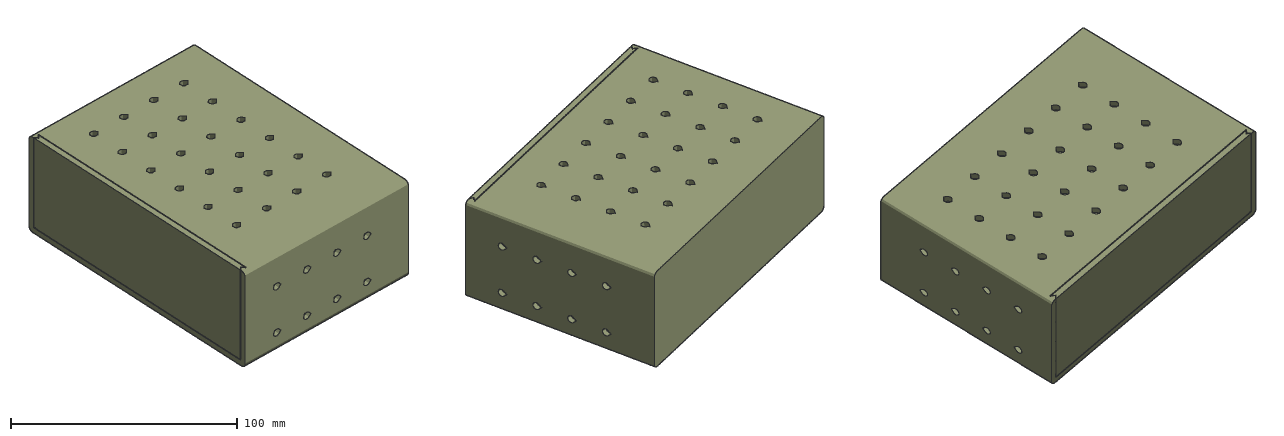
import cadquery as cq
import math

WIDTH = 140.0
DEPTH = 99.0
HEIGHT = 52.6
WALL = 3.0
EDGE_RADIUS = 2.5

LID_THICKNESS = WALL
LID_CLEARANCE = 0.31
V_DEPTH = LID_THICKNESS / 2

VENT_RADIUS = 1.8
VENT_DEPTH_PITCH = 18.2
VENT_ROWS = 4

TOP_VENT_COLUMNS = 6
TOP_VENT_PITCH = 18.5
FIRST_COLUMN_X = 19.0
TOP_FIRST_ROW_Y = 21.4

SIDE_VENT_LEVELS = 2
SIDE_VENT_PITCH = 25.5
FIRST_LEVEL_Z = 10.1
SIDE_FIRST_ROW_Y = 19.0


def teardrop(plane, length):
    """Teardrop prism: a circle with a right-angled tip along the plane's local Y axis."""
    tangent = VENT_RADIUS / math.sqrt(2)
    tip = VENT_RADIUS * math.sqrt(2)
    return (
        cq.Workplane(plane)
        .moveTo(-tangent, tangent)
        .threePointArc((0, -VENT_RADIUS), (tangent, tangent))
        .lineTo(0, tip)
        .close()
        .extrude(length)
    )


def lid_profile():
    """Lid plan outline: a plate with a V groove along each upright edge."""
    left = WALL + LID_CLEARANCE
    right = WIDTH - left
    middle = LID_THICKNESS / 2
    return [
        (left, 0),
        (right, 0),
        (right - V_DEPTH, middle),
        (right, LID_THICKNESS),
        (left, LID_THICKNESS),
        (left + V_DEPTH, middle),
    ]


def make_lid():
    """Lid that slides down between the side walls, level with the top of the box."""
    bottom = WALL + LID_CLEARANCE
    return (
        cq.Workplane("XY", origin=(0, 0, bottom))
        .polyline(lid_profile())
        .close()
        .extrude(HEIGHT - bottom)
    )


def rail(wall_x, inward):
    """V-shaped rail on a side wall's inner face; inward is +1 or -1 along X."""
    return (
        cq.Workplane("XY", origin=(0, 0, WALL))
        .polyline([
            (wall_x, 0),
            (wall_x + inward * V_DEPTH, LID_THICKNESS / 2),
            (wall_x, LID_THICKNESS),
        ])
        .close()
        .extrude(HEIGHT - WALL)
    )


def make_shell():
    """Rounded hollow box, open at the front and along the front edge of its top."""
    block = (
        cq.Workplane("XY")
        .box(WIDTH, DEPTH, HEIGHT, centered=False)
        .edges("|Y")
        .fillet(EDGE_RADIUS)
    )
    inner_width = WIDTH - 2 * WALL
    cavity = cq.Workplane("XY", origin=(WALL, 0, WALL)).box(
        inner_width, DEPTH - WALL, HEIGHT - 2 * WALL, centered=False
    )
    lid_slot = cq.Workplane("XY", origin=(WALL, 0, WALL)).box(
        inner_width, LID_THICKNESS + LID_CLEARANCE, HEIGHT - WALL, centered=False
    )
    return block.cut(cavity).cut(lid_slot)


def top_vents():
    """Grid of vents through the top wall."""
    vents = []
    for column in range(TOP_VENT_COLUMNS):
        for row in range(VENT_ROWS):
            centre = (
                FIRST_COLUMN_X + column * TOP_VENT_PITCH,
                TOP_FIRST_ROW_Y + row * VENT_DEPTH_PITCH,
                HEIGHT - WALL,
            )
            vents.append(teardrop(cq.Plane(centre, (1, 0, 0), (0, 0, 1)), WALL))
    return vents


def side_vents():
    """Grid of vents running through both side walls."""
    vents = []
    for level in range(SIDE_VENT_LEVELS):
        for row in range(VENT_ROWS):
            centre = (
                0,
                SIDE_FIRST_ROW_Y + row * VENT_DEPTH_PITCH,
                FIRST_LEVEL_Z + level * SIDE_VENT_PITCH,
            )
            vents.append(teardrop(cq.Plane(centre, (0, 0, -1), (1, 0, 0)), WIDTH))
    return vents


def make_housing():
    """Vented box with the two rails that hold the lid."""
    housing = make_shell()
    housing = housing.union(rail(WALL, 1))
    housing = housing.union(rail(WIDTH - WALL, -1))
    for vent in top_vents() + side_vents():
        housing = housing.cut(vent)
    return housing


housing = make_housing()
lid = make_lid()

result = cq.Compound.makeCompound([housing.val(), lid.val()])